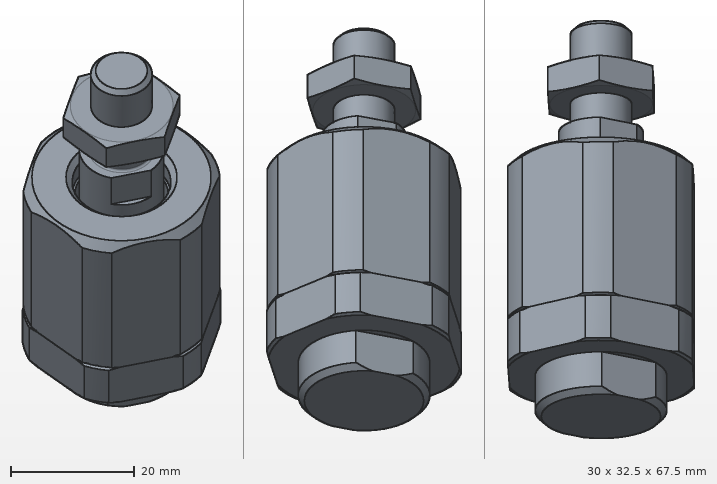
import cadquery as cq
import math


TOTAL_HEIGHT = 67.5
LOCK_NUT_BOTTOM = 7.0
LOCK_NUT_HEIGHT = 7.95
HOUSING_BOTTOM = LOCK_NUT_BOTTOM + LOCK_NUT_HEIGHT
HOUSING_HEIGHT = 28.0
HOUSING_TOP = HOUSING_BOTTOM + HOUSING_HEIGHT
RING_DEPTH = 4.0
RING_HEIGHT = 4.05
RING_TOP = HOUSING_TOP - RING_DEPTH
RING_BOTTOM = RING_TOP - RING_HEIGHT

HEX_ACROSS_FLATS = 30.0
HOUSING_CORNER_DIAMETER = 32.1
HOUSING_TOP_FACE_DIAMETER = 29.1
HOUSING_TOP_CHAMFER = 1.4
LOCK_NUT_CORNER_DIAMETER = 32.5
JOINT_FACE_DIAMETER = 31.25
JOINT_CHAMFER = 0.3
MOUTH_DIAMETER = 18.0
NECK_DIAMETER = 16.0
MOUTH_CHAMFER = (MOUTH_DIAMETER - NECK_DIAMETER) / 2

SOCKET_DIAMETER = 21.4
SOCKET_ACROSS_FLATS = 19.0
SOCKET_CHAMFER = 1.0

RING_BORE_DIAMETER = 15.2

COLLAR_DIAMETER = 13.8
COLLAR_ACROSS_FLATS = 12.0
COLLAR_TOP = 49.55
COLLAR_FLAT_HEIGHT = 6.0
THREAD_DIAMETER = 10.0
THREAD_TIP_DIAMETER = 8.4
THREAD_CHAMFER = (THREAD_DIAMETER - THREAD_TIP_DIAMETER) / 2
THREAD_ROOT_FILLET = 0.4

NUT_ACROSS_FLATS = 17.0
NUT_CORNER_DIAMETER = NUT_ACROSS_FLATS / math.cos(math.radians(30))
NUT_FACE_DIAMETER = 16.7
NUT_CHAMFER = 0.35
NUT_HEIGHT = 5.0
NUT_TOP = 59.55
NUT_BOTTOM = NUT_TOP - NUT_HEIGHT


def cylinder(diameter, bottom, top):
    """Solid cylinder on the Z axis between two levels."""
    return cq.Workplane("XY").workplane(offset=bottom).circle(diameter / 2).extrude(top - bottom)


def flats_limit(across_flats, bottom, top):
    """Block whose two X faces are a pair of wrench flats, wider in Y than any round body here."""
    return (
        cq.Workplane("XY")
        .workplane(offset=bottom)
        .rect(across_flats, HEX_ACROSS_FLATS)
        .extrude(top - bottom)
    )


def hexagon(across_flats, corner_diameter, bottom, height, bottom_end, top_end):
    """Hexagonal prism with flats at +X and -X, its corners turned round and its ends turned conical.

    Each end is a pair: the diameter of its face and the height of its chamfer.
    """
    bottom_face, bottom_chamfer = bottom_end
    top_face, top_chamfer = top_end
    prism = (
        cq.Workplane("XY")
        .workplane(offset=bottom)
        .polygon(6, across_flats, circumscribed=True)
        .extrude(height)
    )
    top = bottom + height
    turned = (
        cq.Workplane("XZ")
        .moveTo(0, bottom)
        .lineTo(bottom_face / 2, bottom)
        .lineTo(corner_diameter / 2, bottom + bottom_chamfer)
        .lineTo(corner_diameter / 2, top - top_chamfer)
        .lineTo(top_face / 2, top)
        .lineTo(0, top)
        .close()
        .revolve(360, (0, 0, 0), (0, 1, 0))
    )
    return prism.intersect(turned)


def make_housing():
    """Hexagonal housing with a chamfered neck above the bore for the ring and socket."""
    outside = hexagon(
        HEX_ACROSS_FLATS,
        HOUSING_CORNER_DIAMETER,
        HOUSING_BOTTOM,
        HOUSING_HEIGHT,
        (JOINT_FACE_DIAMETER, JOINT_CHAMFER),
        (HOUSING_TOP_FACE_DIAMETER, HOUSING_TOP_CHAMFER),
    )
    neck = cylinder(NECK_DIAMETER, HOUSING_BOTTOM, HOUSING_TOP)
    mouth = (
        cq.Workplane("XY")
        .workplane(offset=HOUSING_TOP)
        .circle(MOUTH_DIAMETER / 2)
        .workplane(offset=-MOUTH_CHAMFER)
        .circle(NECK_DIAMETER / 2)
        .loft()
    )
    bore = cylinder(SOCKET_DIAMETER, HOUSING_BOTTOM, RING_TOP)
    return outside.cut(neck).cut(mouth).cut(bore)


def make_lock_nut():
    """Hexagonal nut around the socket, tight under the housing."""
    end = (JOINT_FACE_DIAMETER, JOINT_CHAMFER)
    outside = hexagon(
        HEX_ACROSS_FLATS, LOCK_NUT_CORNER_DIAMETER, LOCK_NUT_BOTTOM, LOCK_NUT_HEIGHT, end, end
    )
    return outside.cut(cylinder(SOCKET_DIAMETER, LOCK_NUT_BOTTOM, HOUSING_BOTTOM))


def make_socket():
    """Round socket up to the ring, with two wrench flats on the end below the lock nut."""
    shank = cylinder(SOCKET_DIAMETER, LOCK_NUT_BOTTOM, RING_BOTTOM)
    wrench_end = (
        cylinder(SOCKET_DIAMETER, 0, LOCK_NUT_BOTTOM)
        .faces("<Z")
        .chamfer(SOCKET_CHAMFER)
        .intersect(flats_limit(SOCKET_ACROSS_FLATS, 0, LOCK_NUT_BOTTOM))
    )
    return shank.union(wrench_end)


def make_ring():
    """Plain ring in the housing bore, with clearance around the stud."""
    outside = cylinder(SOCKET_DIAMETER, RING_BOTTOM, RING_TOP)
    return outside.cut(cylinder(RING_BORE_DIAMETER, RING_BOTTOM, RING_TOP))


def make_stud():
    """Collar with two wrench flats, carrying the plain cylindrical thread."""
    flat_bottom = COLLAR_TOP - COLLAR_FLAT_HEIGHT
    round_collar = cylinder(COLLAR_DIAMETER, RING_BOTTOM, flat_bottom)
    flatted_collar = cylinder(COLLAR_DIAMETER, flat_bottom, COLLAR_TOP).intersect(
        flats_limit(COLLAR_ACROSS_FLATS, flat_bottom, COLLAR_TOP)
    )
    fillet_radius = THREAD_DIAMETER / 2 + THREAD_ROOT_FILLET
    fillet_top = COLLAR_TOP + THREAD_ROOT_FILLET
    thread = (
        cq.Workplane("XZ")
        .moveTo(0, COLLAR_TOP)
        .lineTo(fillet_radius, COLLAR_TOP)
        .radiusArc((THREAD_DIAMETER / 2, fillet_top), THREAD_ROOT_FILLET)
        .lineTo(THREAD_DIAMETER / 2, TOTAL_HEIGHT - THREAD_CHAMFER)
        .lineTo(THREAD_TIP_DIAMETER / 2, TOTAL_HEIGHT)
        .lineTo(0, TOTAL_HEIGHT)
        .close()
        .revolve(360, (0, 0, 0), (0, 1, 0))
    )
    return round_collar.union(flatted_collar).union(thread)


def make_stud_nut():
    """Thin hexagonal nut on the stud thread, chamfered on both faces."""
    end = (NUT_FACE_DIAMETER, NUT_CHAMFER)
    outside = hexagon(NUT_ACROSS_FLATS, NUT_CORNER_DIAMETER, NUT_BOTTOM, NUT_HEIGHT, end, end)
    return outside.cut(cylinder(THREAD_DIAMETER, NUT_BOTTOM, NUT_TOP))


housing = make_housing()
lock_nut = make_lock_nut()
socket = make_socket()
ring = make_ring()
stud = make_stud()
stud_nut = make_stud_nut()

result = cq.Compound.makeCompound(
    [
        housing.val(),
        lock_nut.val(),
        socket.val(),
        ring.val(),
        stud.val(),
        stud_nut.val(),
    ]
)